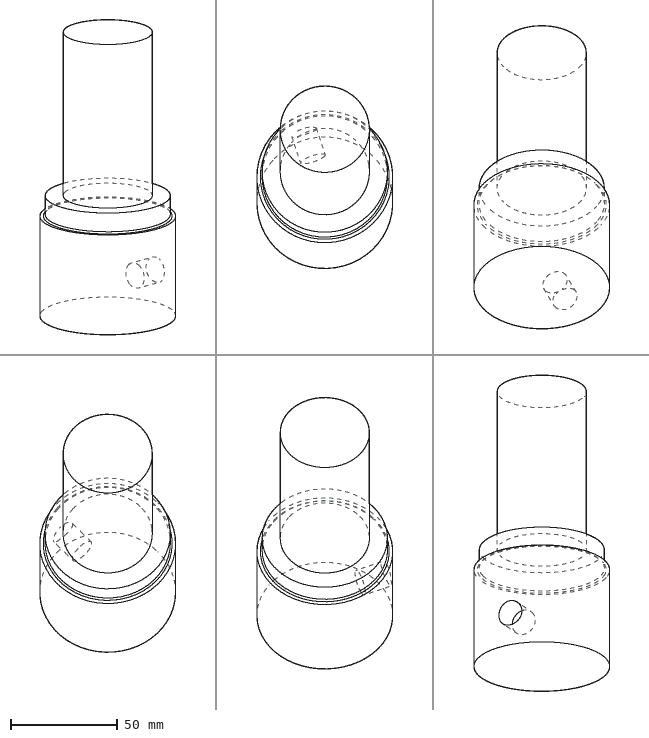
import cadquery as cq

total_height = 139.0
body_diameter = 64.0
collar_diameter = 59.0
shank_diameter = 42.0

body_height = 48.9
collar_top = 59.0

foot_size = 0.8

hole_diameter = 12.2
hole_height = 16.1
hole_depth = 13.9


def turned_profile():
    """Half section of the stepped shaft, from the axis outwards."""
    body_radius = body_diameter / 2
    collar_radius = collar_diameter / 2
    shank_radius = shank_diameter / 2
    return (
        cq.Workplane("XZ")
        .lineTo(body_radius, 0)
        .lineTo(body_radius, body_height)
        .lineTo(collar_radius + foot_size, body_height)
        .lineTo(collar_radius, body_height + foot_size)
        .lineTo(collar_radius, collar_top)
        .lineTo(shank_radius, collar_top)
        .lineTo(shank_radius, total_height)
        .lineTo(0, total_height)
        .close()
    )


def side_hole():
    """Cutter that enters the body from the +Y side."""
    bottom_y = body_diameter / 2 - hole_depth
    return cq.Workplane(
        cq.Plane(origin=(0, bottom_y, hole_height), xDir=(1, 0, 0), normal=(0, 1, 0))
    ).circle(hole_diameter / 2).extrude(hole_depth)


shaft = turned_profile().revolve(360, (0, 0, 0), (0, 1, 0))
result = shaft.cut(side_hole())